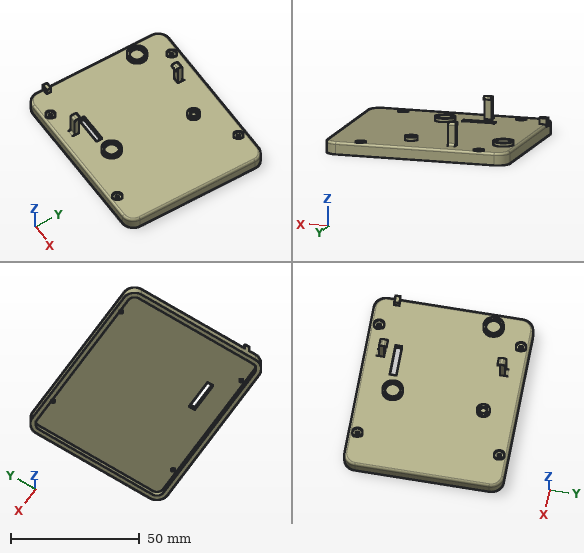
import cadquery as cq

length = 74.5
width = 63.0
tray_height = 5.0
corner_radius = 5.0
wall = 2.0
edge_fillet = 1.0

screw_left_x = -24.95
screw_right_x = 23.1
screw_y = 28.0
screw_diameter = 1.5
screw_head_diameter = 4.0
screw_head_depth = 0.75

ring_height = 1.35
large_ring_outer = 8.0
large_ring_inner = 6.0
large_ring_centers = [(-31.3, 16.1), (2.9, -17.65)]
small_ring_outer = 5.0
small_ring_inner = 3.0
small_ring_center = (5.45, 18.6)

slot_length = 13.0
slot_width = 2.6
slot_center = (-10.6, -18.85)

block_length = 3.0
block_width = 2.0
block_top = 7.4
block_center_y = -22.7

hook_top = 14.0
hook_width = 3.0
hook_center_x = -12.75
hook_thickness = 2.0
hook_fillet = 1.0
hook_overhang = 1.0
hook_half_spacing = 24.9
hook_pair_center_y = -0.75


def make_tray():
    outer = (
        cq.Workplane("XY")
        .box(length, width, tray_height, centered=(True, True, False))
        .edges("|Z").fillet(corner_radius)
        .faces(">Z").edges().fillet(edge_fillet)
    )
    cavity = (
        cq.Workplane("XY")
        .box(length - 2 * wall, width - 2 * wall, tray_height - wall, centered=(True, True, False))
        .edges("|Z").fillet(corner_radius - wall)
    )
    return outer.cut(cavity)


def make_ring(center, outer_diameter, inner_diameter):
    return (
        cq.Workplane("XY", origin=(0, 0, tray_height))
        .center(*center)
        .circle(outer_diameter / 2)
        .circle(inner_diameter / 2)
        .extrude(ring_height)
    )


def make_block():
    """Stop block, seated where the edge fillet of the tray begins."""
    base = tray_height - edge_fillet
    return cq.Workplane("XY").box(
        block_length, block_width, block_top - base, centered=(False, True, False)
    ).translate((-length / 2, block_center_y, base))


def make_hook(side):
    """Snap hook whose tip points to the middle of the pair; side is +1 (rear) or -1 (front)."""
    def y_at(inward):
        """Y of a point at the given distance inward from the outer face of the hook."""
        return hook_pair_center_y + side * (hook_half_spacing - inward)

    tip = hook_thickness + hook_overhang
    under_tip = hook_top - hook_fillet
    arc_middle = hook_fillet * (1 - 0.5 ** 0.5)
    profile = (
        cq.Workplane("YZ", origin=(hook_center_x, 0, 0))
        .moveTo(y_at(-hook_fillet), tray_height)
        .threePointArc(
            (y_at(-arc_middle), tray_height + arc_middle),
            (y_at(0), tray_height + hook_fillet),
        )
        .lineTo(y_at(0), hook_top - hook_fillet)
        .threePointArc(
            (y_at(arc_middle), hook_top - arc_middle),
            (y_at(hook_fillet), hook_top),
        )
        .lineTo(y_at(tip - hook_fillet), hook_top)
        .threePointArc(
            (y_at(tip - arc_middle), hook_top - arc_middle),
            (y_at(tip), under_tip),
        )
        .lineTo(y_at(hook_thickness), under_tip)
        .lineTo(y_at(hook_thickness), tray_height)
        .close()
    )
    return profile.extrude(hook_width / 2, both=True)


def make_screw_holes():
    """Through holes with their counterbores, as one cutting body."""
    points = [(x, y) for x in (screw_left_x, screw_right_x) for y in (-screw_y, screw_y)]
    shanks = cq.Workplane("XY").pushPoints(points).circle(screw_diameter / 2).extrude(tray_height)
    heads = (
        cq.Workplane("XY", origin=(0, 0, tray_height - screw_head_depth))
        .pushPoints(points)
        .circle(screw_head_diameter / 2)
        .extrude(screw_head_depth)
    )
    return shanks.union(heads)


def make_slot():
    return cq.Workplane("XY").center(*slot_center).rect(slot_length, slot_width).extrude(tray_height)


result = make_tray()

for ring_center in large_ring_centers:
    result = result.union(make_ring(ring_center, large_ring_outer, large_ring_inner))
result = result.union(make_ring(small_ring_center, small_ring_outer, small_ring_inner))

result = result.union(make_block())
for hook_side in (1, -1):
    result = result.union(make_hook(hook_side))

result = result.cut(make_screw_holes()).cut(make_slot())